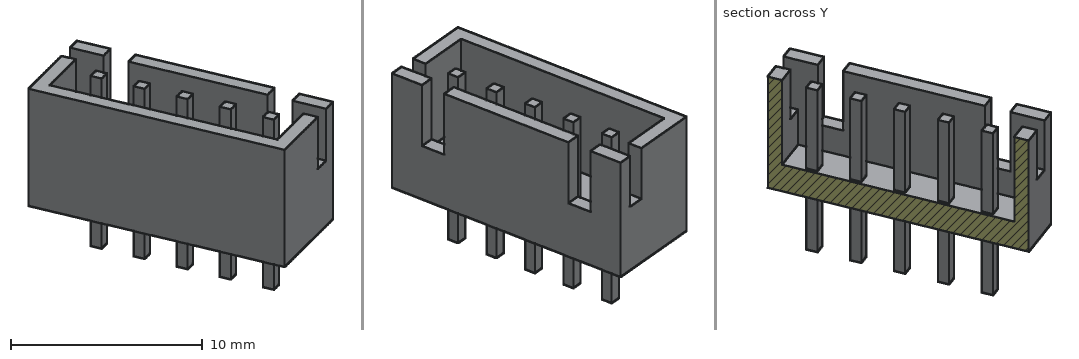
import cadquery as cq

length = 14.9
width = 5.75
height = 7.0
wall = 0.83
floor_thickness = 1.7

side_notch_depth = 3.1
side_notch_width = 0.98
back_slot_depth = 3.72
back_slot_width = 1.45
back_slot_offset = 4.77

pin_count = 5
pin_pitch = 2.5
pin_size = 0.64
pin_y = 3.37
tail_length = 3.4
pin_top_gap = 0.24


def box(size_x, size_y, size_z, x, y, z):
    """Box centred on x, starting at y and z."""
    return cq.Workplane("XY").box(size_x, size_y, size_z, centered=(True, False, False)).translate((x, y, z))


def make_housing():
    """Open-topped shroud with notched ends and a slotted back wall."""
    inner_back = width - wall
    notch_bottom = height - side_notch_depth
    slot_bottom = height - back_slot_depth
    housing = box(length, width, height, 0, 0, 0)
    cavity = box(length - 2 * wall, width - 2 * wall, height - floor_thickness, 0, wall, floor_thickness)
    end_notches = box(length, side_notch_width, side_notch_depth, 0, inner_back - side_notch_width, notch_bottom)
    housing = housing.cut(cavity).cut(end_notches)
    for side in (-1, 1):
        slot = box(back_slot_width, wall, back_slot_depth, side * back_slot_offset, inner_back, slot_bottom)
        housing = housing.cut(slot)
    return housing


def make_pin(x):
    """Pin running from below the housing to just under its rim."""
    pin_length = tail_length + height - pin_top_gap
    return box(pin_size, pin_size, pin_length, x, pin_y - pin_size / 2, -tail_length)


result = make_housing()
for index in range(pin_count):
    result = result.union(make_pin((index - (pin_count - 1) / 2) * pin_pitch))